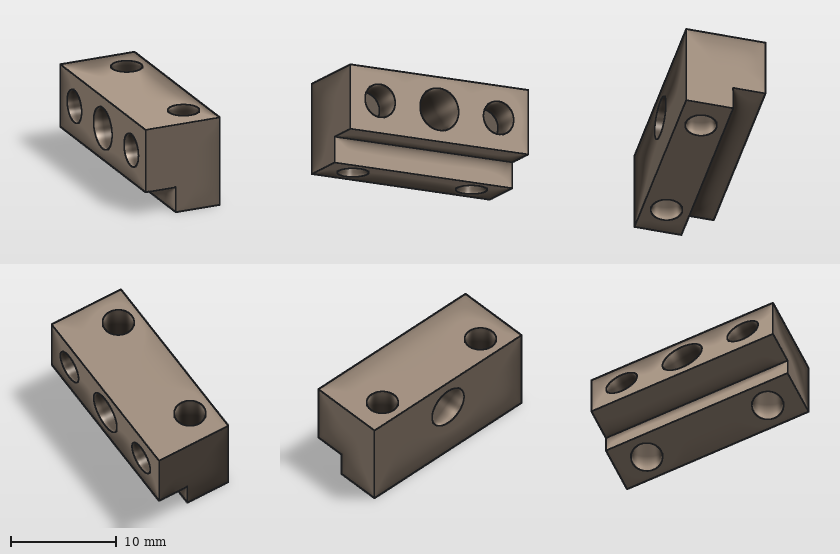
import cadquery as cq

length = 19.05
depth = 7.75
height = 8.85

step_depth = 3.16
step_height = 2.53

hole_spacing = 12.69
vertical_diameter = 3.0
blind_diameter = 3.24
blind_depth = step_depth
center_diameter = 4.13

leg_center_y = (step_depth + depth) / 2
face_center_z = (step_height + height) / 2
outer_hole_xs = (-hole_spacing / 2, hole_spacing / 2)


def vertical_hole(x):
    """Cylinder through the full height of the leg."""
    return cq.Workplane("XY").center(x, leg_center_y).circle(vertical_diameter / 2).extrude(height)


def front_hole(x, diameter, hole_depth):
    """Cylinder running back from the front face."""
    return cq.Workplane("XZ").center(x, face_center_z).circle(diameter / 2).extrude(-hole_depth)


profile = [
    (step_depth, 0),
    (depth, 0),
    (depth, height),
    (0, height),
    (0, step_height),
    (step_depth, step_height),
]
body = cq.Workplane("YZ").polyline(profile).close().extrude(length / 2, both=True)

result = body.cut(front_hole(0, center_diameter, depth))
for hole_x in outer_hole_xs:
    result = result.cut(front_hole(hole_x, blind_diameter, blind_depth))
    result = result.cut(vertical_hole(hole_x))